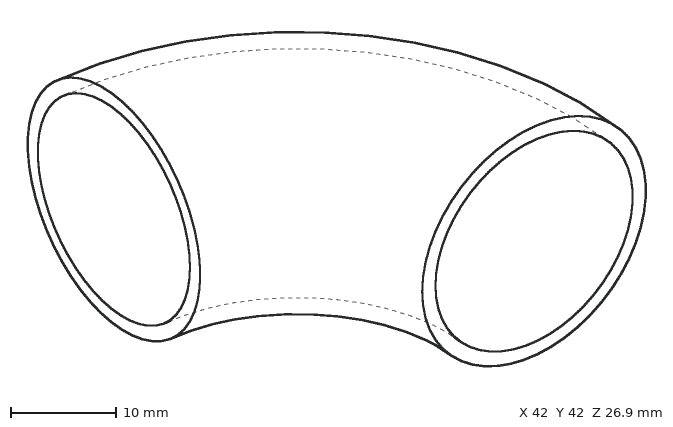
import cadquery as cq

outer_reach = 41.95
outer_diameter = 26.9
wall_thickness = 1.6
bend_angle = 90.0

outer_radius = outer_diameter / 2
inner_radius = outer_radius - wall_thickness
bend_radius = outer_reach - outer_radius

pipe_section = (
    cq.Workplane("XZ")
    .center(-bend_radius, 0)
    .circle(outer_radius)
    .circle(inner_radius)
)

result = pipe_section.revolve(bend_angle, (bend_radius, 0), (bend_radius, -1))